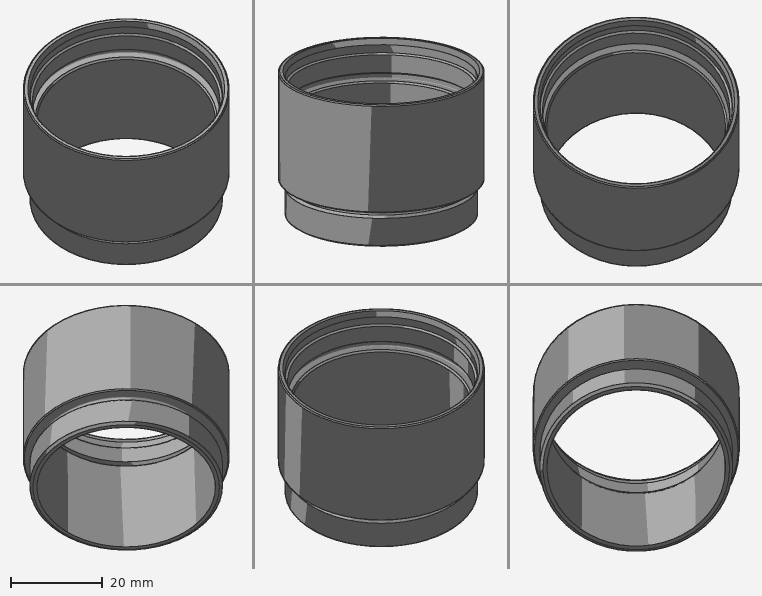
import cadquery as cq

body_radius = 45.0 / 2
spigot_radius = 42.1 / 2
neck_radius = 40.0 / 2

height = 33.4
body_bottom = 8.4
spigot_top = 7.2
body_chamfer = 0.25
spigot_chamfer_width = 0.67
spigot_chamfer_height = 0.45
spigot_top_chamfer_width = 0.75
spigot_top_chamfer_height = 0.5

mouth_radius = 43.0 / 2
counterbore_radius = 42.0 / 2
socket_radius = 40.9 / 2
relief_radius = 42.7 / 2
bore_radius = 39.0 / 2

mouth_depth = 1.3
counterbore_depth = 3.15
socket_lead_in = 0.3
socket_depth = 7.55
relief_depth = 9.25
relief_shoulder_height = 0.55
bore_chamfer = 0.4

groove_fillet = 0.22


def turned(points):
    """Solid of revolution about Z from (radius, height) corners, closed along the axis."""
    bottom = points[0][1]
    top = points[-1][1]
    outline = [(0, bottom)] + points + [(0, top)]
    return cq.Workplane("XZ").polyline(outline).close().revolve(360, (0, 0), (0, 1))


def round_edge(solid, radius, level):
    """Fillet the circular edge closest to the given radius and height."""
    def distance(edge):
        return abs(edge.radius() - radius) + abs(edge.Center().z - level)

    circles = solid.edges("%CIRCLE").vals()
    return solid.newObject([min(circles, key=distance)]).fillet(groove_fillet)


def outer_form():
    """Body, grooved neck and spigot, without the opening through them."""
    spigot_shoulder = spigot_top - spigot_top_chamfer_height
    form = turned([
        (spigot_radius - spigot_chamfer_width, 0),
        (spigot_radius, spigot_chamfer_height),
        (spigot_radius, spigot_shoulder),
        (spigot_radius - spigot_top_chamfer_width, spigot_top),
        (neck_radius, spigot_top),
        (neck_radius, body_bottom),
        (body_radius - body_chamfer, body_bottom),
        (body_radius, body_bottom + body_chamfer),
        (body_radius, height - body_chamfer),
        (body_radius - body_chamfer, height),
    ])
    form = round_edge(form, neck_radius, spigot_top)
    return round_edge(form, neck_radius, body_bottom)


def inner_form():
    """Opening: bore, relief groove, socket, counterbore and tapered mouth."""
    relief_floor = height - relief_depth
    socket_bottom = height - socket_depth
    counterbore_floor = height - counterbore_depth
    form = turned([
        (bore_radius, 0),
        (bore_radius, relief_floor - bore_chamfer),
        (bore_radius + bore_chamfer, relief_floor),
        (relief_radius, relief_floor),
        (relief_radius, socket_bottom - relief_shoulder_height),
        (socket_radius, socket_bottom),
        (socket_radius, counterbore_floor - socket_lead_in),
        (counterbore_radius, counterbore_floor),
        (counterbore_radius, height - mouth_depth),
        (mouth_radius, height),
    ])
    return round_edge(form, relief_radius, relief_floor)


result = outer_form().cut(inner_form())